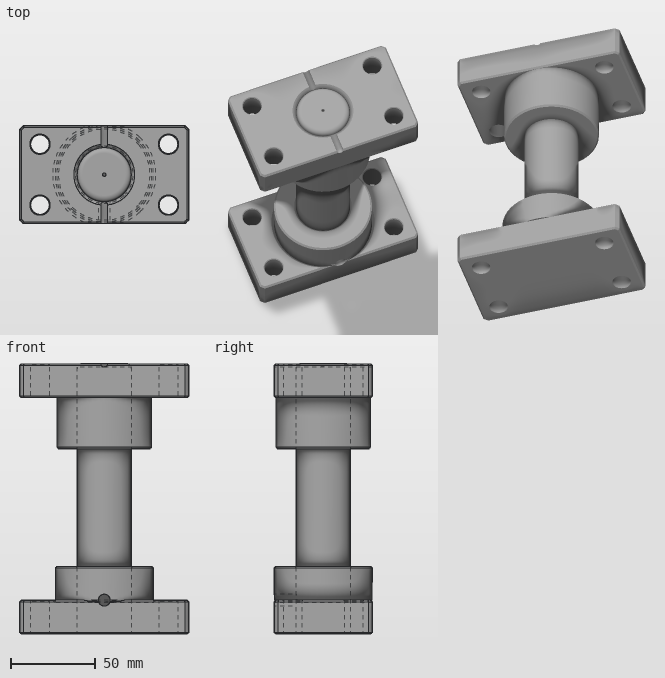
import cadquery as cq

PLATE_X = 100.0
PLATE_Y = 58.0
PLATE_THICKNESS = 20.0
PLATE_CORNER_CHAMFER = 2.2
PLATE_EDGE_CHAMFER = 1.0
SCREW_HOLE_DIAMETER = 11.0
SCREW_HOLE_CHAMFER = 0.5
SCREW_SPACING_X = 76.0
SCREW_SPACING_Y = 36.0

PILLAR_DIAMETER = 32.0
PILLAR_LENGTH = 160.0
PILLAR_TIP_RADIUS = 3.3
CENTRE_HOLE_DIAMETER = 2.0
CENTRE_HOLE_DEPTH = 2.0

COLLAR_DIAMETER = 58.0
COLLAR_HEIGHT = 20.0
COLLAR_TOP_CHAMFER = 1.0
COLLAR_BORE_CHAMFER = 1.0
RELIEF_WIDTH = 1.5
RELIEF_DEPTH = 1.5
SIDE_HOLE_DIAMETER = 7.0

PILLAR_PROTRUSION = 0.27
TOP_FACE_Z = PILLAR_LENGTH - PILLAR_PROTRUSION
TOP_PLATE_Z = TOP_FACE_Z - PLATE_THICKNESS
BUSH_DIAMETER = 56.0
BUSH_LENGTH = 30.25
BUSH_TIP_CHAMFER = 1.0
TOP_BORE_CHAMFER = 2.0
VENT_GROOVE_RADIUS = 2.0


def cylinder(diameter, bottom_z, top_z):
    """Cylinder on the pillar axis."""
    return cq.Workplane("XY", origin=(0, 0, bottom_z)).circle(diameter / 2).extrude(top_z - bottom_z)


def bore_chamfer(bore_diameter, chamfer, mouth_z):
    """Cone that chamfers the upper mouth of a bore on the pillar axis."""
    radius = bore_diameter / 2
    profile = [
        (0, mouth_z),
        (radius + chamfer, mouth_z),
        (radius, mouth_z - chamfer),
        (0, mouth_z - chamfer),
    ]
    return cq.Workplane("XZ").polyline(profile).close().revolve(360, (0, 0), (0, 1))


def make_plate(bottom_z):
    """Chamfered plate with four screw holes, their upper mouths chamfered."""
    plate = (
        cq.Workplane("XY", origin=(0, 0, bottom_z))
        .box(PLATE_X, PLATE_Y, PLATE_THICKNESS, centered=(True, True, False))
        .edges("|Z")
        .chamfer(PLATE_CORNER_CHAMFER)
        .faces("<Z or >Z")
        .chamfer(PLATE_EDGE_CHAMFER)
    )
    return (
        plate.faces(">Z")
        .workplane(centerOption="CenterOfBoundBox")
        .rarray(SCREW_SPACING_X, SCREW_SPACING_Y, 2, 2)
        .cskHole(SCREW_HOLE_DIAMETER, SCREW_HOLE_DIAMETER + 2 * SCREW_HOLE_CHAMFER, 90)
    )


def make_pillar():
    """Plain pillar with a rounded tip and a small centre hole in its upper end."""
    pillar = cylinder(PILLAR_DIAMETER, 0, PILLAR_LENGTH).faces(">Z").edges().fillet(PILLAR_TIP_RADIUS)
    return pillar.cut(cylinder(CENTRE_HOLE_DIAMETER, PILLAR_LENGTH - CENTRE_HOLE_DEPTH, PILLAR_LENGTH))


def make_base():
    """Lower plate and collar in one piece, bored through for the pillar.

    A V-shaped relief runs round the foot of the collar, and a side hole
    centred on the plate's upper face reaches in to the pillar.
    """
    top_z = PLATE_THICKNESS + COLLAR_HEIGHT
    collar_radius = COLLAR_DIAMETER / 2
    relief = (
        cq.Workplane("XZ")
        .polyline([
            (collar_radius, PLATE_THICKNESS),
            (collar_radius + RELIEF_WIDTH, PLATE_THICKNESS),
            (collar_radius, PLATE_THICKNESS - RELIEF_DEPTH),
        ])
        .close()
        .revolve(360, (0, 0), (0, 1))
    )
    collar = cylinder(COLLAR_DIAMETER, PLATE_THICKNESS, top_z).faces(">Z").chamfer(COLLAR_TOP_CHAMFER)
    side_hole = (
        cq.Workplane("XZ", origin=(0, -PLATE_Y / 2, PLATE_THICKNESS))
        .circle(SIDE_HOLE_DIAMETER / 2)
        .extrude(-PLATE_Y / 2)
    )
    return (
        make_plate(0)
        .cut(relief)
        .union(collar)
        .cut(side_hole)
        .cut(cylinder(PILLAR_DIAMETER, 0, top_z))
        .cut(bore_chamfer(PILLAR_DIAMETER, COLLAR_BORE_CHAMFER, top_z))
    )


def make_top_housing():
    """Upper plate and guide bush in one piece, with a vent groove across its top."""
    bush_z = TOP_PLATE_Z - BUSH_LENGTH
    bush = cylinder(BUSH_DIAMETER, bush_z, TOP_PLATE_Z).faces("<Z").chamfer(BUSH_TIP_CHAMFER)
    vent_groove = (
        cq.Workplane("XZ", origin=(0, PLATE_Y / 2, TOP_FACE_Z))
        .circle(VENT_GROOVE_RADIUS)
        .extrude(PLATE_Y)
    )
    return (
        make_plate(TOP_PLATE_Z)
        .union(bush)
        .cut(vent_groove)
        .cut(cylinder(PILLAR_DIAMETER, bush_z, TOP_FACE_Z))
        .cut(bore_chamfer(PILLAR_DIAMETER, TOP_BORE_CHAMFER, TOP_FACE_Z))
    )


pillar = make_pillar()
base = make_base()
top_housing = make_top_housing()

result = cq.Compound.makeCompound([base.val(), pillar.val(), top_housing.val()])